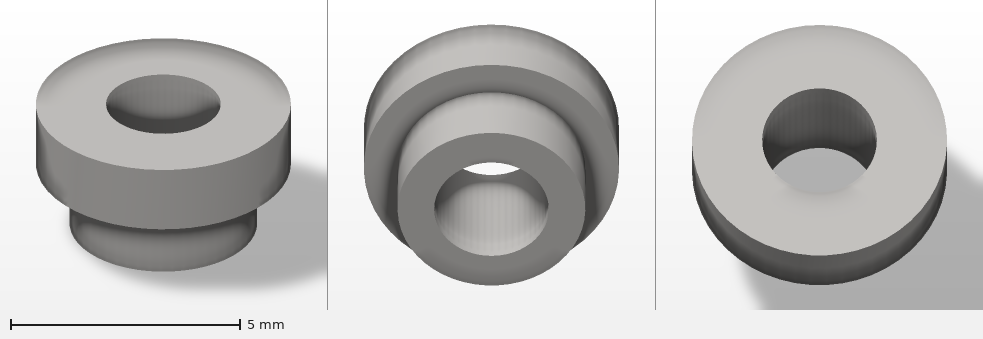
import cadquery as cq

flange_diameter = 5.56
sleeve_diameter = 4.09
bore_diameter = 2.5
total_height = 3.03
flange_thickness = 1.51
sleeve_height = total_height - flange_thickness


def make_sleeve():
    """Narrow lower cylinder."""
    return cq.Workplane("XY").circle(sleeve_diameter / 2).extrude(sleeve_height)


def add_flange(body):
    """Wide cylinder on top of the sleeve."""
    return body.faces(">Z").workplane().circle(flange_diameter / 2).extrude(flange_thickness)


def cut_bore(body):
    """Plain hole through the full height."""
    return body.faces(">Z").workplane().hole(bore_diameter)


result = cut_bore(add_flange(make_sleeve()))